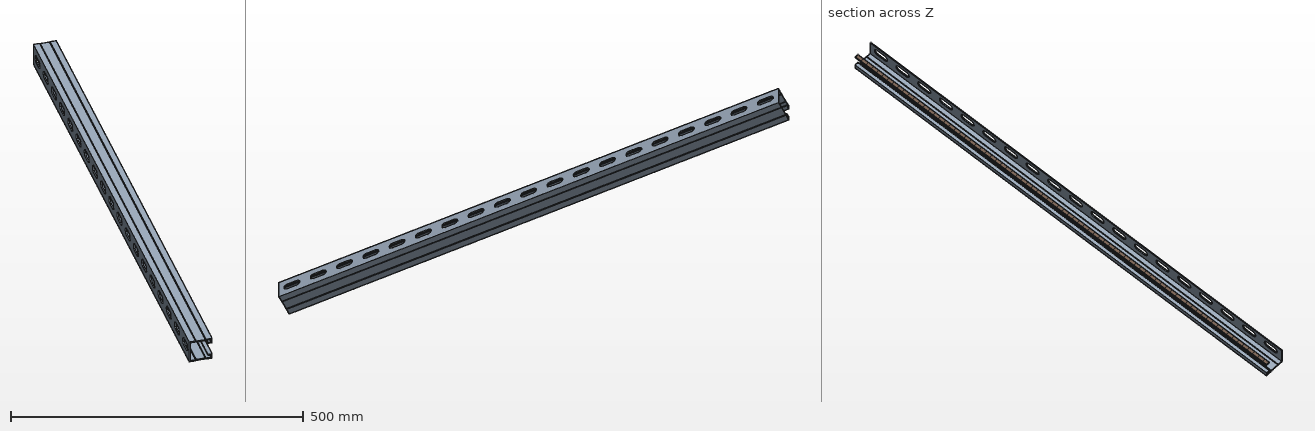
import cadquery as cq

length = 950.0
depth = 41.0
height = 41.3
wall = 2.5

mouth_width = 22.3
lip_depth = 7.5

band_floor_width = 16.0
band_mouth_width = 19.0
band_depth = 0.5

slot_count = 19
slot_pitch = 50.0
slot_length = 30.0
slot_width = 13.5


def flange_face(start_y, end_y, z):
    """Points along a flange face at height z, dipping through the pressed band."""
    direction = 1 if end_y > start_y else -1
    floor_end = direction * band_floor_width / 2
    band_end = direction * band_mouth_width / 2
    return [
        (start_y, z),
        (-band_end, z),
        (-floor_end, z - band_depth),
        (floor_end, z - band_depth),
        (band_end, z),
        (end_y, z),
    ]


def channel():
    """Constant (Y, Z) section of web, flanges and lips, extruded along X."""
    front = -depth / 2
    back = depth / 2
    top = height / 2
    lip_edge = mouth_width / 2
    lip_end = back - lip_depth

    outer_face = flange_face(front, back, top)
    lip = [
        (back, lip_edge),
        (lip_end, lip_edge),
        (lip_end, lip_edge + wall),
        (back - wall, lip_edge + wall),
    ]
    inner_face = flange_face(back - wall, front + wall, top - wall)

    upper_half = outer_face + lip + inner_face
    lower_half = [(y, -z) for y, z in reversed(upper_half)]
    section = cq.Workplane("YZ").polyline(upper_half + lower_half).close()
    return section.extrude(length / 2, both=True)


def web_slots():
    """Cutters for the row of rounded slots through the web."""
    return (
        cq.Workplane("XZ", origin=(0, -depth / 2, 0))
        .rarray(slot_pitch, 1, slot_count, 1)
        .slot2D(slot_length, slot_width)
        .extrude(wall, both=True)
    )


result = channel().cut(web_slots())